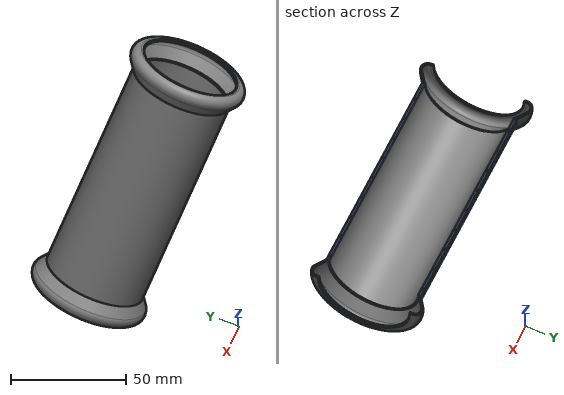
import cadquery as cq
import math

length = 120.0
bead_diameter = 53.3
body_diameter = 45.4
mouth_diameter = 43.3
bore_diameter = 42.4
bead_radius = 3.5
wall = 1.02
flare_end = 10.2
socket_depth = 10.3
mouth_chamfer = 0.4

body_radius = body_diameter / 2
mouth_radius = mouth_diameter / 2
bore_radius = bore_diameter / 2

bead_depth = bead_radius
bead_centre_radius = bead_diameter / 2 - bead_radius
groove_radius = bead_radius - wall

foot_depth = flare_end - bead_depth
foot_drop = bead_centre_radius - body_radius
foot_distance = math.hypot(foot_depth, foot_drop)
tangent_angle = math.acos(bead_radius / foot_distance) - math.atan2(foot_drop, foot_depth)


def bead_point(section_radius, angle):
    """Depth from the sleeve end and radius of a point on the bead section."""
    depth = bead_depth + section_radius * math.cos(angle)
    radius = bead_centre_radius + section_radius * math.sin(angle)
    return depth, radius


def revolve_about_x(profile):
    return profile.close().revolve(360, (0, 0, 0), (1, 0, 0))


def end_solid():
    """Solid bead and flare at the left end, with its end face at depth zero."""
    profile = (
        cq.Workplane("XY")
        .lineTo(0, bead_centre_radius)
        .threePointArc(
            bead_point(bead_radius, math.radians(90)),
            bead_point(bead_radius, tangent_angle),
        )
        .lineTo(flare_end, body_radius)
        .lineTo(flare_end, 0)
    )
    return revolve_about_x(profile)


def end_cavity():
    """Chamfered mouth, seal groove behind the lip, inner taper and bore shoulder."""
    tangent_depth, tangent_radius = bead_point(groove_radius, tangent_angle)
    taper_length = (tangent_radius - mouth_radius) * math.tan(tangent_angle)
    profile = (
        cq.Workplane("XY")
        .lineTo(0, mouth_radius + mouth_chamfer)
        .lineTo(mouth_chamfer, mouth_radius)
        .lineTo(wall, mouth_radius)
        .lineTo(wall, bead_centre_radius)
        .threePointArc(
            bead_point(groove_radius, math.radians(90)),
            (tangent_depth, tangent_radius),
        )
        .lineTo(tangent_depth + taper_length, mouth_radius)
        .lineTo(socket_depth, mouth_radius)
        .lineTo(socket_depth, 0)
    )
    return revolve_about_x(profile)


def both_ends(solid):
    """Place a left-end solid at both ends of the sleeve."""
    left = solid.translate((-length / 2, 0, 0))
    return left.union(left.mirror("YZ"))


def cylinder_about_x(radius, cylinder_length):
    start = cq.Workplane("YZ").workplane(offset=-cylinder_length / 2)
    return start.circle(radius).extrude(cylinder_length)


body = cylinder_about_x(body_radius, length - 2 * flare_end)
bore = cylinder_about_x(bore_radius, length)
result = body.union(both_ends(end_solid())).cut(bore).cut(both_ends(end_cavity()))